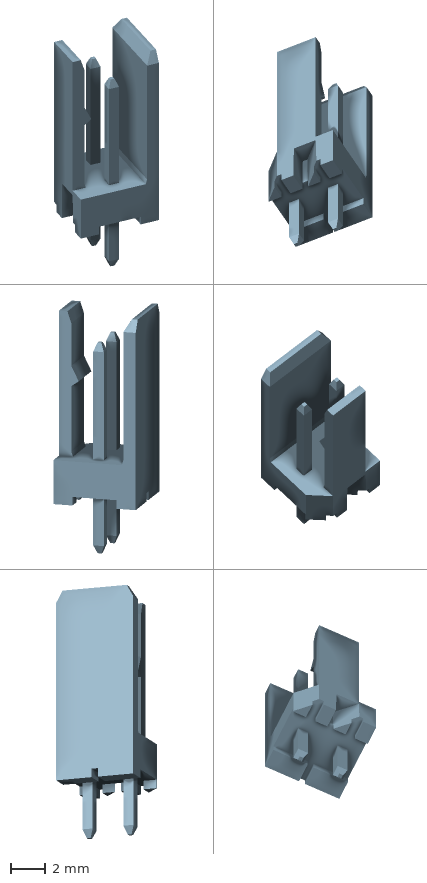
import cadquery as cq
import math

pitch = 2.54
pin_positions = (-pitch / 2, pitch / 2)

width = 4.78
depth = 5.0
base_height = 2.63
foot_height = 0.51
recess_depth = 2.68
corner_cut = width / 2 - pitch / 2

wall_top = 11.3
wall_thickness = 0.75
root_chamfer_depth = 0.1
root_chamfer_height = 0.3
lead_in_height = 0.7
back_lead_in_inset = 0.4
latch_width = pitch
wall_root = base_height / 2
latch_lead_in_inset = 0.23

barb_reach = 0.45
barb_top = wall_top - 3.24
barb_tip = wall_top - 4.14
barb_bottom = wall_top - 4.46

notch_height = 2.33
notch_left = -0.155
notch_draft = 1.0
gap_width = 2 * (abs(notch_left) + notch_height * math.tan(math.radians(notch_draft)))
groove_width = 0.6

pin_size = 0.64
pin_tip_size = 0.24
pin_taper = 0.5
pin_bottom = -3.0
pin_top = 9.6

front = -depth / 2
back = depth / 2
latch_inner = front + wall_thickness
back_wall_inner = back - wall_thickness


def box(size_x, size_y, z_low, z_high, x=0, y=0):
    """Box centred on (x, y) that spans z_low to z_high."""
    return cq.Workplane("XY", origin=(x, y, z_low)).rect(size_x, size_y).extrude(z_high - z_low)


def side_profile(points, extrusion_width):
    """Extrude a (y, z) outline along X, centred on X = 0."""
    return cq.Workplane("YZ").polyline(points).close().extrude(extrusion_width / 2, both=True)


def make_base():
    base = box(width, depth, 0, base_height)
    base = base.edges("|Z and <X and <Y").chamfer(corner_cut)
    return base.cut(box(width, recess_depth, 0, foot_height))


def make_back_wall():
    wall = side_profile(
        [
            (back, wall_root),
            (back_wall_inner - root_chamfer_depth, wall_root),
            (back_wall_inner - root_chamfer_depth, base_height),
            (back_wall_inner, base_height + root_chamfer_height),
            (back_wall_inner, wall_top - lead_in_height),
            (back_wall_inner + back_lead_in_inset, wall_top),
            (back, wall_top),
        ],
        width,
    )
    top_half_width = width / 2 - back_lead_in_inset
    chamfered_ends = (
        cq.Workplane("XZ", origin=(0, back, 0))
        .polyline(
            [
                (-width / 2, 0),
                (-width / 2, wall_top - lead_in_height),
                (-top_half_width, wall_top),
                (top_half_width, wall_top),
                (width / 2, wall_top - lead_in_height),
                (width / 2, 0),
            ]
        )
        .close()
        .extrude(depth)
    )
    return wall.intersect(chamfered_ends)


def make_latch():
    return side_profile(
        [
            (front, wall_root),
            (front, wall_top),
            (latch_inner - latch_lead_in_inset, wall_top),
            (latch_inner, wall_top - lead_in_height),
            (latch_inner, barb_top),
            (latch_inner + barb_reach, barb_tip),
            (latch_inner, barb_bottom),
            (latch_inner, base_height + root_chamfer_height),
            (latch_inner + root_chamfer_depth, base_height),
            (latch_inner + root_chamfer_depth, wall_root),
        ],
        latch_width,
    )


def make_notch():
    """Drafted notch in the front face; its right side runs parallel to the corner cut."""
    overshoot = 1.0
    notch_right = pitch / 2
    return (
        cq.Workplane("XY", origin=(0, 0, notch_height))
        .polyline(
            [
                (notch_left, front - overshoot),
                (notch_right + overshoot, front - overshoot),
                (notch_right - corner_cut, front + corner_cut),
                (notch_left, front + corner_cut),
            ]
        )
        .close()
        .extrude(-notch_height, taper=-notch_draft)
    )


def make_foot_gap():
    """Central gap that separates the left and right feet."""
    return box(gap_width, depth, 0, foot_height)


def make_pin_groove(x):
    """Groove below a pin, through the front foot."""
    return box(groove_width, depth / 2, 0, foot_height, x, front / 2)


def make_pin(x):
    shank = box(pin_size, pin_size, pin_bottom + pin_taper, pin_top - pin_taper, x)

    def make_tip(end_face):
        tip_base = shank.faces(end_face).workplane().rect(pin_size, pin_size)
        tip_end = tip_base.workplane(offset=pin_taper).rect(pin_tip_size, pin_tip_size)
        return tip_end.loft(combine=False)

    return shank.union(make_tip(">Z")).union(make_tip("<Z"))


result = make_base().union(make_back_wall()).union(make_latch())
result = result.cut(make_notch())
result = result.cut(make_foot_gap())
for pin_x in pin_positions:
    result = result.cut(make_pin_groove(pin_x))
for pin_x in pin_positions:
    result = result.union(make_pin(pin_x))